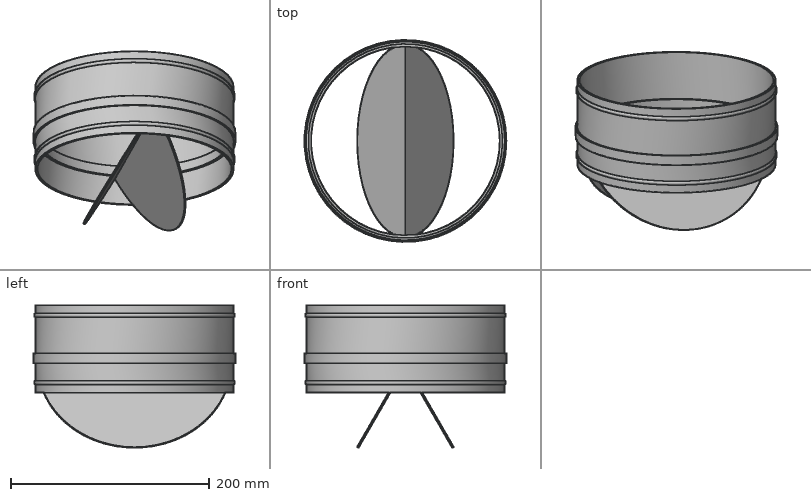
import cadquery as cq
import math

tube_outer_radius = 100.2
tube_inner_radius = 98.0
tube_height = 88.3
ring_outer_radius = 102.0
ring_inner_radius = 95.0
ring_height = 10.0
ring_top_depth = 48.8
bead_end_distance = 10.2
bead_height = 4.0
bead_projection = 1.2

blade_radius = 97.5
blade_thickness = 1.6
flap_tilt = 30.0

ring_bottom = 0.0
ring_top = ring_bottom + ring_height
tube_top = ring_top + ring_top_depth
tube_bottom = tube_top - tube_height


def annulus(outer_radius, inner_radius, bottom, height):
    """Plain round ring that stands on the height `bottom`."""
    return (
        cq.Workplane("XY", origin=(0, 0, bottom))
        .circle(outer_radius)
        .circle(inner_radius)
        .extrude(height)
    )


def bead(middle_height):
    """Rounded bead around the outside of the tube, rooted inside the tube wall."""
    root_radius = (tube_outer_radius + tube_inner_radius) / 2
    low = middle_height - bead_height / 2
    high = middle_height + bead_height / 2
    return (
        cq.Workplane("XZ")
        .moveTo(root_radius, low)
        .lineTo(tube_outer_radius, low)
        .threePointArc((tube_outer_radius + bead_projection, middle_height), (tube_outer_radius, high))
        .lineTo(root_radius, high)
        .close()
        .revolve(360, (0, 0, 0), (0, 1, 0))
    )


def make_housing():
    """Tube with a seat ring that stands proud inside and outside, and a bead near each end."""
    housing = annulus(tube_outer_radius, tube_inner_radius, tube_bottom, tube_height)
    housing = housing.union(annulus(ring_outer_radius, ring_inner_radius, ring_bottom, ring_height))
    for middle_height in (tube_bottom + bead_end_distance, tube_top - bead_end_distance):
        housing = housing.union(bead(middle_height))
    return housing


def flap(side):
    """Half disc hanging from the hinge line, toward -X (side = -1) or +X (side = 1)."""
    tilt = math.radians(flap_tilt)
    inward_normal = (-side * math.cos(tilt), 0, -math.sin(tilt))
    face = cq.Plane(origin=(0, 0, ring_bottom), xDir=(0, side, 0), normal=inward_normal)
    return (
        cq.Workplane(face)
        .moveTo(-blade_radius, 0)
        .threePointArc((0, blade_radius), (blade_radius, 0))
        .close()
        .extrude(blade_thickness)
    )


def make_blade():
    """Both flaps joined, with each one trimmed at the middle plane X = 0."""
    size = 2 * blade_radius
    blade = None
    for side in (-1, 1):
        half_space = cq.Workplane("XY").box(size, size, 2 * size).translate((side * size / 2, 0, 0))
        half = flap(side).intersect(half_space)
        blade = half if blade is None else blade.union(half)
    return blade


housing = make_housing()
blade = make_blade()

result = cq.Compound.makeCompound([housing.val(), blade.val()])